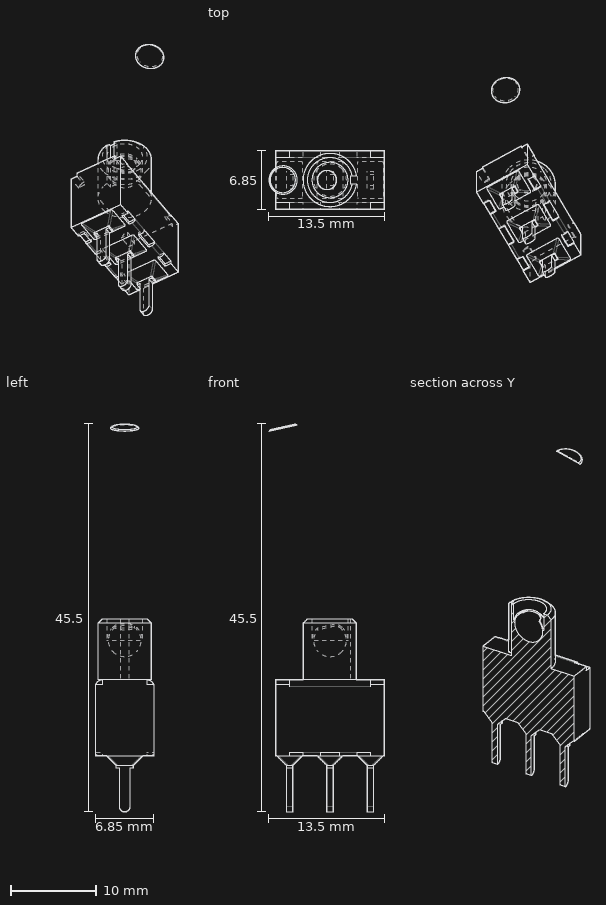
import cadquery as cq
import math


case_length = 12.7
case_width = 6.85
case_height = 8.9
cover_length = 9.45
edge_depth = 0.8
step_height = 0.55
groove_height = 0.4
tab_inner_x = 1.15
tab_outer_x = 3.2

bushing_radius = 3.15
bushing_height = 7.15
bushing_chamfer = 0.5
keyway_width = 0.95
keyway_floor_x = 2.4
bore_radius = 4.2 / 2
ball_depth = 2.55
ball_wall = 0.2
opening_radius = 1.15

terminal_pitch = 4.72
terminal_count = 3
terminal_thickness = 0.75
collar_width = 2.05
collar_end = 1.45
pin_width = 1.25
pin_end = 6.6
seal_height = 1.15
seal_rounding = 0.25

lever_tilt = 12.5
disc_radius = 1.7
disc_thickness = 0.16
disc_bevel = 0.2
overall_height = 45.45
disc_overhang = 0.75

bushing_top = case_height + bushing_height
ball_center_z = bushing_top - ball_depth


def box_between(x_range, y_range, z_range):
    """Axis-aligned box given by its low and high coordinate on each axis."""
    ranges = (x_range, y_range, z_range)
    sizes = [high - low for low, high in ranges]
    corner = tuple(low for low, high in ranges)
    return cq.Workplane("XY").box(*sizes, centered=False).translate(corner)


def make_case():
    """Block with bent cover edges on the long sides and a step at each upper corner."""
    half_length = case_length / 2
    half_cover = cover_length / 2
    half_width = case_width / 2
    inner_y = half_width - edge_depth

    middle = (
        cq.Workplane("XY")
        .box(cover_length, case_width, case_height, centered=(True, True, False))
        .edges("|X and >Z")
        .fillet(edge_depth)
        .edges("|X and <Z")
        .fillet(groove_height)
    )
    ends = cq.Workplane("XY").box(case_length, case_width, case_height, centered=(True, True, False))
    ends = ends.cut(box_between((-half_cover, half_cover), (-half_width, half_width), (0, case_height)))
    case = middle.union(ends)

    end_spans = [(-half_length, -half_cover), (half_cover, half_length)]
    groove_spans = [
        (-half_cover, -tab_outer_x),
        (-tab_inner_x, tab_inner_x),
        (tab_outer_x, half_cover),
    ]
    for y_range in [(-half_width, -inner_y), (inner_y, half_width)]:
        for x_range in end_spans:
            case = case.cut(box_between(x_range, y_range, (case_height - step_height, case_height)))
        for x_range in groove_spans:
            case = case.cut(box_between(x_range, y_range, (0, groove_height)))
    return case


def make_bushing():
    """Bevelled tube with a keyway; its bore ends around the upper half of the lever ball."""
    bushing = (
        cq.Workplane("XY")
        .workplane(offset=case_height)
        .circle(bushing_radius)
        .extrude(bushing_height)
        .faces(">Z")
        .chamfer(bushing_chamfer)
    )
    ball = cq.Workplane("XY").sphere(bore_radius).translate((0, 0, ball_center_z))
    bore = (
        cq.Workplane("XY")
        .workplane(offset=ball_center_z)
        .circle(bore_radius)
        .extrude(ball_depth)
        .cut(ball)
    )
    keyway = box_between(
        (keyway_floor_x, bushing_radius),
        (-keyway_width / 2, keyway_width / 2),
        (case_height, bushing_top),
    )
    return bushing.cut(bore).cut(keyway)


def make_ball_cavity():
    """Hollow inside of the lever ball and the round opening on the tilted lever axis."""
    cavity = cq.Workplane("XY").sphere(bore_radius - ball_wall)
    opening = (
        cq.Workplane("XY")
        .circle(opening_radius)
        .extrude(bore_radius)
        .rotate((0, 0, 0), (0, 1, 0), -lever_tilt)
    )
    return cavity.union(opening).translate((0, 0, ball_center_z))


def make_terminal(x):
    """Flat pin with a wider collar, a rounded tip and a rounded pyramid seal at the case."""
    half_pin = pin_width / 2
    half_collar = collar_width / 2
    blade = (
        cq.Workplane("YZ")
        .moveTo(-half_collar, 0)
        .lineTo(-half_collar, -collar_end)
        .lineTo(-half_pin, -collar_end)
        .lineTo(-half_pin, half_pin - pin_end)
        .threePointArc((0, -pin_end), (half_pin, half_pin - pin_end))
        .lineTo(half_pin, -collar_end)
        .lineTo(half_collar, -collar_end)
        .lineTo(half_collar, 0)
        .close()
        .extrude(terminal_thickness / 2, both=True)
    )
    seal = (
        cq.Workplane("XY")
        .rect(terminal_thickness + 2 * seal_height, collar_width + 2 * seal_height)
        .workplane(offset=-seal_height)
        .rect(terminal_thickness, collar_width)
        .loft()
        .edges("not #Z")
        .fillet(seal_rounding)
    )
    return blade.union(seal).translate((x, 0, 0))


def make_switch():
    """Case, bushing and terminals as one body."""
    switch = make_case().union(make_bushing()).cut(make_ball_cavity())
    for index in range(terminal_count):
        x = (index - (terminal_count - 1) / 2) * terminal_pitch
        switch = switch.union(make_terminal(x))
    return switch


def make_cap_disc():
    """Thin bevelled disc, square to the lever axis, high above the bushing."""
    tilt = math.radians(lever_tilt)
    top_radius = disc_radius - disc_bevel
    x = -case_length / 2 - disc_overhang + disc_radius * math.cos(tilt)
    top_rise = disc_thickness * math.cos(tilt) + top_radius * math.sin(tilt)
    z = overall_height - pin_end - top_rise
    disc = (
        cq.Workplane("XZ")
        .polyline([(0, 0), (disc_radius, 0), (top_radius, disc_thickness), (0, disc_thickness)])
        .close()
        .revolve(360, (0, 0, 0), (0, 1, 0))
    )
    return disc.rotate((0, 0, 0), (0, 1, 0), -lever_tilt).translate((x, 0, z))


switch = make_switch()
cap_disc = make_cap_disc()

result = cq.Compound.makeCompound([switch.val(), cap_disc.val()])